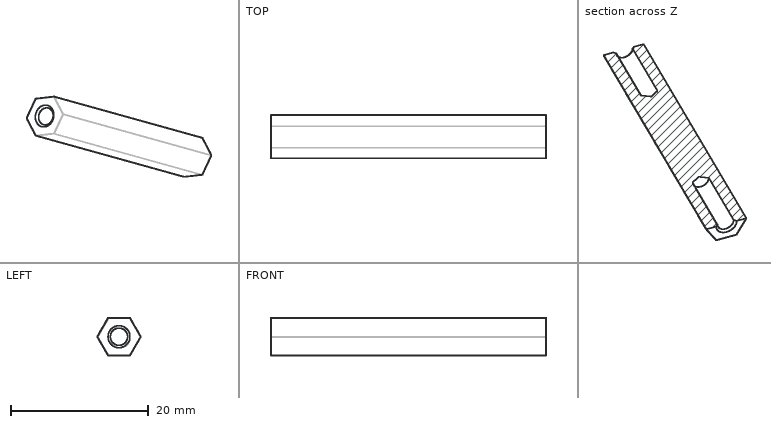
import cadquery as cq
import math

length = 40.0
across_flats = 5.5
edge_radius = 0.1

bore_diameter = 2.5
bore_depth = 10.0
drill_point_angle = 118.0
countersink_diameter = 3.2
countersink_angle = 90.0


def cone_height(radius_change, included_angle):
    """Axial length over which a cone's radius changes by the given amount."""
    return radius_change / math.tan(math.radians(included_angle / 2))


def hex_body():
    """Hexagonal bar with flats facing +Z and -Z and rounded outer edges."""
    across_corners = across_flats / math.cos(math.pi / 6)
    bar = cq.Workplane("YZ").polygon(6, across_corners).extrude(length)
    return bar.edges().fillet(edge_radius)


def end_hole():
    """Drilled hole entering the X = 0 face: countersink, bore and drill point."""
    bore_radius = bore_diameter / 2
    mouth_radius = countersink_diameter / 2
    countersink_depth = cone_height(mouth_radius - bore_radius, countersink_angle)
    tip_depth = bore_depth + cone_height(bore_radius, drill_point_angle)
    profile = (
        cq.Workplane("XY")
        .moveTo(0, 0)
        .lineTo(0, mouth_radius)
        .lineTo(countersink_depth, bore_radius)
        .lineTo(bore_depth, bore_radius)
        .lineTo(tip_depth, 0)
        .close()
    )
    return profile.revolve(360, (0, 0, 0), (1, 0, 0))


near_hole = end_hole()
far_hole = near_hole.mirror("YZ").translate((length, 0, 0))

result = hex_body().translate((-length / 2, 0, 0))
for hole in (near_hole, far_hole):
    result = result.cut(hole.translate((-length / 2, 0, 0)))